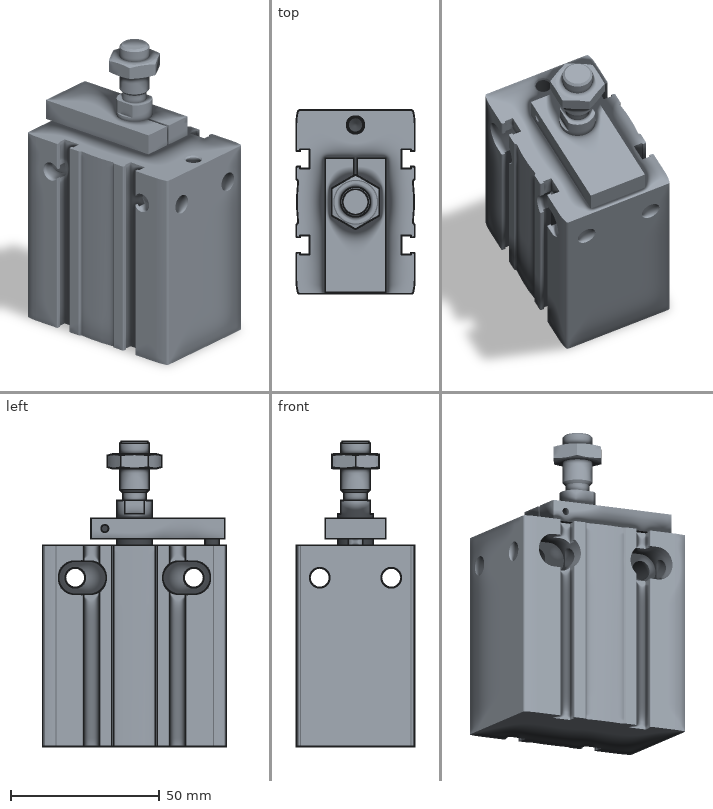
import cadquery as cq
import math

TOTAL_HEIGHT = 103.0

HOUSING_WIDTH = 40.0
HOUSING_LENGTH = 62.0
HOUSING_HEIGHT = 68.0
HALF_WIDTH = HOUSING_WIDTH / 2
HALF_LENGTH = HOUSING_LENGTH / 2
CORNER_FILLET = 0.8
SHOULDER_DIAMETER = 32.0
SHOULDER_START_Y = 26.5

RECESS_OUTER_Y = 7.7
RECESS_INNER_Y = 7.0
RECESS_EDGE_DEPTH = 0.6
RECESS_CROWN_DEPTH = 0.2

SLOT_Y = 14.5
SLOT_WIDTH = 6.4
SLOT_DEPTH = 4.4
MOUTH_WIDTH = 5.2
LIP_THICKNESS = 1.3
LIP_ROUNDING = 0.4

MOUNT_HOLE_DIAMETER = 6.6
MOUNT_HOLE_DROP = 11.0
MOUNT_HOLE_Z = HOUSING_HEIGHT - MOUNT_HOLE_DROP
LENGTHWISE_HOLE_X = 12.0
CROSSWISE_HOLE_Y = 20.0
COUNTERBORE_DIAMETER = 11.2
COUNTERBORE_STRETCH = 4.8
COUNTERBORE_DEPTH = 12.0

PORT_Y = 26.0
PORT_DIAMETER = 5.0
PORT_RIM_DIAMETER = 6.0
PORT_DEPTH = 10.0
DRILL_POINT_ANGLE = 118.0

PLATE_GAP = 2.1
PLATE_THICKNESS = 7.0
PLATE_WIDTH = 20.4
PLATE_BACK_Y = 14.7
PLATE_FRONT_Y = -30.5
PLATE_BOTTOM_Z = HOUSING_HEIGHT + PLATE_GAP
CLAMP_SLIT_WIDTH = 1.0
CLAMP_HOLE_DIAMETER = 2.5
CLAMP_HOLE_Y = 10.0

ROD_DIAMETER = 12.0
ROD_SHOULDER_Z = HOUSING_HEIGHT + 15.0
FLAT_HEIGHT = 4.5
ACROSS_FLATS = 10.0
NECK_DIAMETER = 8.0
NECK_HEIGHT = 2.7
THREAD_DIAMETER = 10.0
THREAD_TIP_CHAMFER = 0.7

NUT_ACROSS_FLATS = 16.0
NUT_THICKNESS = 4.9
NUT_FACE_DIAMETER = 14.7
NUT_CHAMFER_ANGLE = 15.0
NUT_TOP_Z = TOTAL_HEIGHT - 4.3

PIN_DIAMETER = 4.9
PIN_Y = -26.2
PIN_RECESS_DIAMETER = 7.0
PIN_RECESS_DEPTH = 0.3
PIN_SEAT_Z = HOUSING_HEIGHT - PIN_RECESS_DEPTH


def housing_profile():
    """Outline without the sensor slots, counterclockwise from the -X, -Y corner."""
    shoulder_radius = SHOULDER_DIAMETER / 2

    def shoulder_x(y):
        rise = y - SHOULDER_START_Y
        return HALF_WIDTH - shoulder_radius + math.sqrt(shoulder_radius**2 - rise**2)

    corner_x = shoulder_x(HALF_LENGTH)
    middle_y = (SHOULDER_START_Y + HALF_LENGTH) / 2
    middle_x = shoulder_x(middle_y)
    recess_x = HALF_WIDTH - RECESS_EDGE_DEPTH
    crown_x = HALF_WIDTH - RECESS_CROWN_DEPTH

    outline = cq.Workplane("XY").moveTo(-corner_x, -HALF_LENGTH)
    for side in (1, -1):
        outline = (
            outline.lineTo(side * corner_x, -side * HALF_LENGTH)
            .threePointArc((side * middle_x, -side * middle_y), (side * HALF_WIDTH, -side * SHOULDER_START_Y))
            .lineTo(side * HALF_WIDTH, -side * RECESS_OUTER_Y)
            .lineTo(side * recess_x, -side * RECESS_INNER_Y)
            .threePointArc((side * crown_x, 0), (side * recess_x, side * RECESS_INNER_Y))
            .lineTo(side * HALF_WIDTH, side * RECESS_OUTER_Y)
            .lineTo(side * HALF_WIDTH, side * SHOULDER_START_Y)
            .threePointArc((side * middle_x, side * middle_y), (side * corner_x, side * HALF_LENGTH))
        )
    return outline.close()


def sensor_slot(side, y):
    """Cutter for one T-slot over the full height, open at the side face with rounded lips."""
    face_x = side * HALF_WIDTH
    rounded_x = face_x - side * LIP_ROUNDING
    lip_x = face_x - side * LIP_THICKNESS
    floor_x = face_x - side * SLOT_DEPTH
    half_slot = SLOT_WIDTH / 2
    half_mouth = MOUTH_WIDTH / 2
    half_opening = half_mouth + LIP_ROUNDING
    arc_inset = LIP_ROUNDING * (1 - math.sqrt(0.5))
    arc_x = face_x - side * arc_inset
    half_arc = half_mouth + arc_inset
    return (
        cq.Workplane("XY", origin=(0, y, 0))
        .moveTo(face_x, half_opening)
        .threePointArc((arc_x, half_arc), (rounded_x, half_mouth))
        .lineTo(lip_x, half_mouth)
        .lineTo(lip_x, half_slot)
        .lineTo(floor_x, half_slot)
        .lineTo(floor_x, -half_slot)
        .lineTo(lip_x, -half_slot)
        .lineTo(lip_x, -half_mouth)
        .lineTo(rounded_x, -half_mouth)
        .threePointArc((arc_x, -half_arc), (face_x, -half_opening))
        .close()
        .extrude(HOUSING_HEIGHT)
    )


def lengthwise_hole(x):
    plane = cq.Workplane("XZ", origin=(x, HALF_LENGTH, MOUNT_HOLE_Z))
    return plane.circle(MOUNT_HOLE_DIAMETER / 2).extrude(HOUSING_LENGTH)


def crosswise_hole(end):
    """Through hole along X with an oblong counterbore that is stretched toward the middle."""
    plane = cq.Workplane("YZ", origin=(-HALF_WIDTH, end * CROSSWISE_HOLE_Y, MOUNT_HOLE_Z))
    hole = plane.circle(MOUNT_HOLE_DIAMETER / 2).extrude(HOUSING_WIDTH)
    counterbore = (
        plane.center(-end * COUNTERBORE_STRETCH / 2, 0)
        .slot2D(COUNTERBORE_STRETCH + COUNTERBORE_DIAMETER, COUNTERBORE_DIAMETER)
        .extrude(COUNTERBORE_DEPTH)
    )
    return hole.union(counterbore)


def port_hole():
    """Blind drilled hole with a chamfered rim and a conical bottom."""
    radius = PORT_DIAMETER / 2
    rim_radius = PORT_RIM_DIAMETER / 2
    rim_depth = rim_radius - radius
    point_depth = radius / math.tan(math.radians(DRILL_POINT_ANGLE / 2))
    section = [
        (0, 0),
        (rim_radius, 0),
        (radius, -rim_depth),
        (radius, -PORT_DEPTH),
        (0, -PORT_DEPTH - point_depth),
    ]
    plane = cq.Workplane("XZ", origin=(0, PORT_Y, HOUSING_HEIGHT))
    return plane.polyline(section).close().revolve(360, (0, 0), (0, 1))


def pin_recess():
    seat = cq.Workplane("XY", origin=(0, PIN_Y, PIN_SEAT_Z))
    return seat.circle(PIN_RECESS_DIAMETER / 2).extrude(PIN_RECESS_DEPTH)


def make_housing():
    housing = housing_profile().extrude(HOUSING_HEIGHT)
    housing = housing.edges("|Z").edges("<Y or >Y").fillet(CORNER_FILLET)
    for side in (-1, 1):
        for end in (-1, 1):
            housing = housing.cut(sensor_slot(side, end * SLOT_Y))
    for side in (-1, 1):
        housing = housing.cut(lengthwise_hole(side * LENGTHWISE_HOLE_X))
    for end in (-1, 1):
        housing = housing.cut(crosswise_hole(end))
    return housing.cut(port_hole()).cut(pin_recess())


def make_plate():
    plate_length = PLATE_BACK_Y - PLATE_FRONT_Y
    plate = (
        cq.Workplane("XY", origin=(0, (PLATE_BACK_Y + PLATE_FRONT_Y) / 2, PLATE_BOTTOM_Z))
        .rect(PLATE_WIDTH, plate_length)
        .extrude(PLATE_THICKNESS)
    )
    base = cq.Workplane("XY", origin=(0, 0, PLATE_BOTTOM_Z))
    rod_hole = base.circle(ROD_DIAMETER / 2).extrude(PLATE_THICKNESS)
    slit = base.center(0, PLATE_BACK_Y / 2).rect(CLAMP_SLIT_WIDTH, PLATE_BACK_Y).extrude(PLATE_THICKNESS)
    clamp_hole = (
        cq.Workplane("YZ", origin=(-PLATE_WIDTH / 2, CLAMP_HOLE_Y, PLATE_BOTTOM_Z + PLATE_THICKNESS / 2))
        .circle(CLAMP_HOLE_DIAMETER / 2)
        .extrude(PLATE_WIDTH / 2)
    )
    return plate.cut(rod_hole).cut(slit).cut(clamp_hole)


def make_rod():
    """Stepped rod that stands on the housing, with two wrench flats below the neck."""
    rod_radius = ROD_DIAMETER / 2
    neck_radius = NECK_DIAMETER / 2
    thread_radius = THREAD_DIAMETER / 2
    neck_top_z = ROD_SHOULDER_Z + NECK_HEIGHT
    section = [
        (0, HOUSING_HEIGHT),
        (rod_radius, HOUSING_HEIGHT),
        (rod_radius, ROD_SHOULDER_Z),
        (neck_radius, ROD_SHOULDER_Z),
        (neck_radius, neck_top_z),
        (thread_radius, neck_top_z + thread_radius - neck_radius),
        (thread_radius, TOTAL_HEIGHT - THREAD_TIP_CHAMFER),
        (thread_radius - THREAD_TIP_CHAMFER, TOTAL_HEIGHT),
        (0, TOTAL_HEIGHT),
    ]
    rod = cq.Workplane("XZ").polyline(section).close().revolve(360, (0, 0), (0, 1))
    flat_zone = cq.Workplane("XY", origin=(0, 0, ROD_SHOULDER_Z - FLAT_HEIGHT))
    flats = (
        flat_zone.rect(2 * ROD_DIAMETER, ROD_DIAMETER)
        .rect(ACROSS_FLATS, ROD_DIAMETER)
        .extrude(FLAT_HEIGHT)
    )
    return rod.cut(flats)


def make_nut():
    """Hexagon nut with two corners on the Y axis, chamfered on both faces."""
    corner_radius = NUT_ACROSS_FLATS / math.sqrt(3)
    face_radius = NUT_FACE_DIAMETER / 2
    chamfer_height = (corner_radius - face_radius) * math.tan(math.radians(NUT_CHAMFER_ANGLE))
    base = cq.Workplane("XY", origin=(0, 0, NUT_TOP_Z - NUT_THICKNESS))
    hexagon = (
        base.transformed(rotate=(0, 0, 90))
        .polygon(6, 2 * corner_radius)
        .circle(THREAD_DIAMETER / 2)
        .extrude(NUT_THICKNESS)
    )
    section = [
        (0, 0),
        (face_radius, 0),
        (corner_radius, chamfer_height),
        (corner_radius, NUT_THICKNESS - chamfer_height),
        (face_radius, NUT_THICKNESS),
        (0, NUT_THICKNESS),
    ]
    turned_blank = (
        cq.Workplane("XZ", origin=(0, 0, NUT_TOP_Z - NUT_THICKNESS))
        .polyline(section)
        .close()
        .revolve(360, (0, 0), (0, 1))
    )
    return hexagon.intersect(turned_blank)


def make_guide_pin():
    seat = cq.Workplane("XY", origin=(0, PIN_Y, PIN_SEAT_Z))
    return seat.circle(PIN_DIAMETER / 2).extrude(PLATE_BOTTOM_Z - PIN_SEAT_Z)


housing = make_housing()
plate = make_plate()
rod = make_rod()
nut = make_nut()
guide_pin = make_guide_pin()

result = cq.Compound.makeCompound([housing.val(), plate.val(), rod.val(), nut.val(), guide_pin.val()])